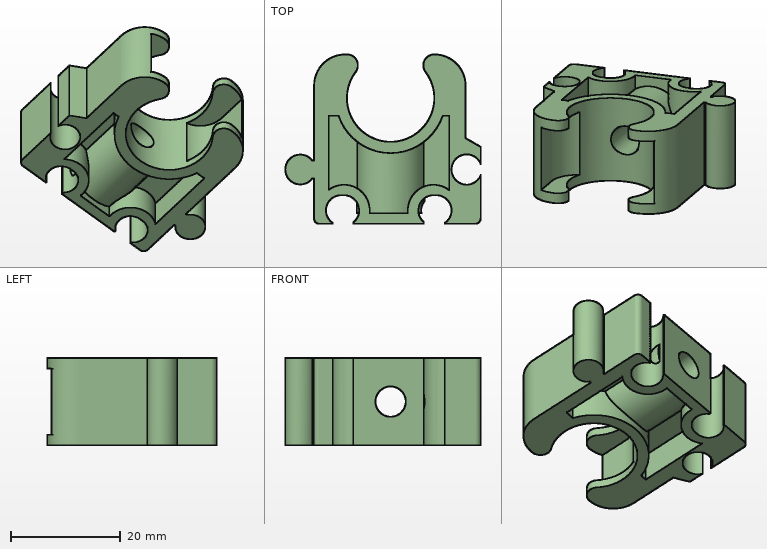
import cadquery as cq
import math

length = 35.75
depth = 31.0
height = 16.0
mid_z = height / 2

body_left = 5.25
shoulder_right = 33.0
shoulder_y = 14.08
shoulder_angle = 30.0
arm_radius = 5.72
tip_radius = 2.0
corner_radius = 1.0

bore_x = 19.25
bore_y = 22.98
bore_radius = 7.97
seat_outer_radius = 10.05

pin_radius = 5.5 / 2
pin_y = 9.95
neck_half_width = 1.65
socket_x = length - 2.57

groove_radius = 5.5 / 2
groove_y = 2.45
groove_shift = 0.55
groove_inner_xs = (10.75, 27.1)
groove_outer_xs = (groove_inner_xs[0] - groove_shift, groove_inner_xs[1] + groove_shift)
mouth_xs = (10.55, 27.25)
mouth_width = 3.8
mouth_depth = 0.55
groove_wall_radius = 4.68

wall = 1.95
hollow_left = 7.97
hollow_right = 30.02
pocket_back = 19.75
web_thickness = 2.8
pocket_depth = (height - web_thickness) / 2
recess_corner_radius = 10.5 / 2
recess_front = 19.4

tube_radius = 6.22
screw_hole_radius = 5.5 / 2


def disc(x, y, radius, z=0.0, thickness=height):
    return cq.Workplane("XY", origin=(x, y, z)).circle(radius).extrude(thickness)


def block(x0, x1, y0, y1, z0=0.0, z1=height):
    return cq.Workplane("XY").box(x1 - x0, y1 - y0, z1 - z0, centered=False).translate((x0, y0, z0))


def rod(radius, y0, y1):
    """Round bar along Y on the axis of the screw hole."""
    return cq.Workplane("XZ", origin=(bore_x, y0, mid_z)).circle(radius).extrude(y0 - y1)


def make_body():
    """Solid outline with two clip arms whose round tips are tangent to the bore."""
    diagonal = math.sqrt(0.5)
    arm_y = depth - arm_radius
    tip_y = depth - tip_radius
    reach = bore_radius + tip_radius
    tip_dx = math.sqrt(reach**2 - (tip_y - bore_y) ** 2)
    touch_dx = tip_dx * bore_radius / reach
    touch_y = bore_y + (tip_y - bore_y) * bore_radius / reach
    left_arm_x = body_left + arm_radius
    right_arm_x = shoulder_right - arm_radius
    shoulder_rise = (length - shoulder_right) * math.tan(math.radians(shoulder_angle))
    outline = (
        cq.Workplane("XY")
        .moveTo(body_left, 0)
        .lineTo(length, 0)
        .lineTo(length, shoulder_y)
        .lineTo(shoulder_right, shoulder_y + shoulder_rise)
        .lineTo(shoulder_right, arm_y)
        .threePointArc(
            (right_arm_x + arm_radius * diagonal, arm_y + arm_radius * diagonal), (right_arm_x, depth)
        )
        .lineTo(bore_x + tip_dx, depth)
        .threePointArc((bore_x + tip_dx - tip_radius, tip_y), (bore_x + touch_dx, touch_y))
        .threePointArc((bore_x, bore_y - bore_radius), (bore_x - touch_dx, touch_y))
        .threePointArc((bore_x - tip_dx + tip_radius, tip_y), (bore_x - tip_dx, depth))
        .lineTo(left_arm_x, depth)
        .threePointArc(
            (left_arm_x - arm_radius * diagonal, arm_y + arm_radius * diagonal), (body_left, arm_y)
        )
        .close()
    )
    front_corners = cq.selectors.BoxSelector((0, -0.35, -0.35), (length + 0.35, 0.35, height + 0.35))
    return outline.extrude(height).edges("|Z").edges(front_corners).fillet(corner_radius)


def make_pocket(z0):
    """Pocket bounded by the outer walls, the pipe seat and the groove walls."""
    pocket = block(hollow_left, hollow_right, wall, pocket_back, z0, z0 + pocket_depth)
    pocket = pocket.cut(disc(bore_x, bore_y, seat_outer_radius))
    for x in groove_inner_xs:
        pocket = pocket.cut(disc(x, groove_y, groove_wall_radius))
        pocket = pocket.cut(block(x - groove_wall_radius, x + groove_wall_radius, 0, groove_y))
    return pocket


def make_arm_recess():
    """Hollow with rounded front corners that splits each arm into two flanges."""
    recess = block(hollow_left, hollow_right, recess_front, depth + wall, wall, height - wall)
    return recess.edges("|Z and <Y").fillet(recess_corner_radius)


result = make_body()

result = result.union(disc(pin_radius, pin_y, pin_radius))
result = result.union(block(pin_radius, body_left, pin_y - neck_half_width, pin_y + neck_half_width))
result = result.cut(disc(socket_x, pin_y, pin_radius))

for pocket_z in (0, height - pocket_depth):
    result = result.cut(make_pocket(pocket_z))
result = result.cut(make_arm_recess())

for groove_x, mouth_x in zip(groove_inner_xs, mouth_xs):
    result = result.cut(disc(groove_x, groove_y, groove_radius))
    result = result.cut(block(mouth_x - mouth_width / 2, mouth_x + mouth_width / 2, 0, mouth_depth))

tube = rod(tube_radius, wall, bore_y).cut(disc(bore_x, bore_y, bore_radius))
result = result.union(tube)

for groove_x in groove_outer_xs:
    result = result.cut(disc(groove_x, groove_y, groove_radius))
result = result.cut(rod(screw_hole_radius, 0, bore_y))